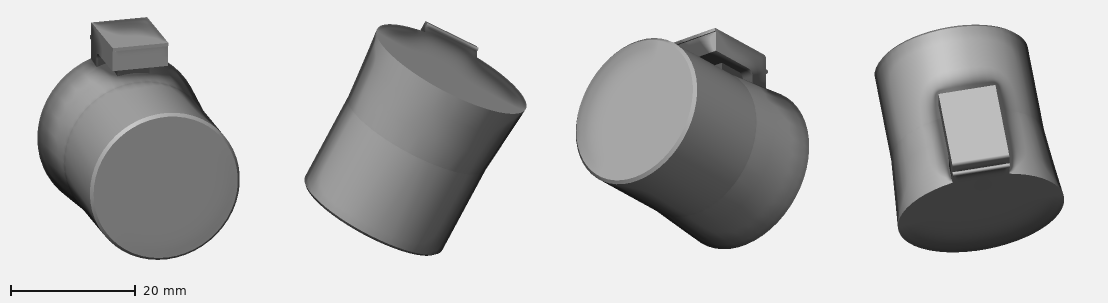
import cadquery as cq

flare_radius = 27.13 / 2
body_radius = 12.5
flare_length = 12.18
body_length = 27.85
end_chamfer = 0.5

overall_height = 32.57
tab_top = overall_height - flare_radius
tab_width = 9.28
tab_length = 12.77
tab_thickness = 4.0
tab_underside = tab_top - tab_thickness
leg_length = 3.42
nose_fillet = 0.5
inner_fillet = 1.05
root_depth = 9.77

lip_reach = 0.23
lip_height = 0.55

bead_reach = 0.55
bead_radius = 0.33
bead_drop = 2.75
bead_height = tab_top - bead_drop

rib_width = 5.28
rib_end = 8.75
rib_overlap = 0.65


def centered_plate(profile, width):
    """Extrude an XZ profile symmetrically about the XZ plane."""
    return profile.extrude(width / 2, both=True)


def make_body():
    return (
        cq.Workplane("XY")
        .lineTo(0, -flare_radius)
        .lineTo(flare_length, -body_radius)
        .lineTo(body_length - end_chamfer, -body_radius)
        .lineTo(body_length, end_chamfer - body_radius)
        .lineTo(body_length, 0)
        .close()
        .revolve(360, (0, 0, 0), (1, 0, 0))
    )


def make_tab():
    profile = (
        cq.Workplane("XZ")
        .moveTo(0, root_depth)
        .lineTo(0, tab_top - nose_fillet)
        .radiusArc((nose_fillet, tab_top), nose_fillet)
        .lineTo(tab_length + lip_reach, tab_top)
        .lineTo(tab_length + lip_reach, tab_top - lip_height)
        .lineTo(tab_length, tab_top - lip_height)
        .lineTo(tab_length, tab_underside)
        .lineTo(leg_length + inner_fillet, tab_underside)
        .radiusArc((leg_length, tab_underside - inner_fillet), -inner_fillet)
        .lineTo(leg_length, root_depth)
        .close()
    )
    return centered_plate(profile, tab_width)


def make_bead():
    round_start = bead_radius - bead_reach
    profile = (
        cq.Workplane("XZ")
        .moveTo(nose_fillet, bead_height - bead_radius)
        .lineTo(round_start, bead_height - bead_radius)
        .threePointArc((-bead_reach, bead_height), (round_start, bead_height + bead_radius))
        .lineTo(nose_fillet, bead_height + bead_radius)
        .close()
    )
    return centered_plate(profile, tab_width)


def make_rib():
    profile = (
        cq.Workplane("XZ")
        .moveTo(leg_length / 2, root_depth)
        .lineTo(rib_end, root_depth)
        .lineTo(rib_end, tab_underside + rib_overlap)
        .lineTo(leg_length / 2, tab_underside + rib_overlap)
        .close()
    )
    return centered_plate(profile, rib_width)


result = make_body().union(make_tab()).union(make_bead()).union(make_rib())